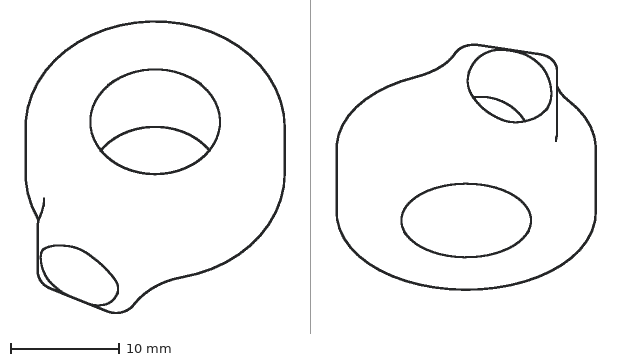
import cadquery as cq
import math

THICKNESS = 9.0
RING_RADIUS = 12.0
TIP_DISTANCE = 16.0
TIP_HALF_WIDTH = 5.0
NECK_RADIUS = 7.0
CORNER_RADIUS = 2.0
RIM_RADIUS = 1.0
OPENING_RADIUS = 6.0
HOLE_DIAMETER = 8.0
HOLE_DEPTH = 8.0

SEAT_RADIUS = math.hypot(OPENING_RADIUS, THICKNESS / 2)


def flank_center():
    """Centre of the +X flank arc: tangent to the ring and through the tip corner."""
    ring_reach = RING_RADIUS + NECK_RADIUS
    corner_reach = math.hypot(TIP_HALF_WIDTH, TIP_DISTANCE)
    corner_angle = math.atan2(-TIP_DISTANCE, TIP_HALF_WIDTH)
    cosine = (ring_reach**2 + corner_reach**2 - NECK_RADIUS**2) / (2 * ring_reach * corner_reach)
    angle = corner_angle + math.acos(cosine)
    return ring_reach * math.cos(angle), ring_reach * math.sin(angle)


def make_body():
    """Ring and neck as one plate, with rounded tip corners and rims."""
    center_x, center_y = flank_center()
    ring_share = RING_RADIUS / (RING_RADIUS + NECK_RADIUS)
    blend_x = center_x * ring_share
    blend_y = center_y * ring_share

    chord_x = (blend_x + TIP_HALF_WIDTH) / 2 - center_x
    chord_y = (blend_y - TIP_DISTANCE) / 2 - center_y
    stretch = NECK_RADIUS / math.hypot(chord_x, chord_y)
    middle_x = center_x + chord_x * stretch
    middle_y = center_y + chord_y * stretch

    plate = (
        cq.Workplane("XY")
        .workplane(offset=-THICKNESS / 2)
        .moveTo(blend_x, blend_y)
        .threePointArc((0, RING_RADIUS), (-blend_x, blend_y))
        .threePointArc((-middle_x, middle_y), (-TIP_HALF_WIDTH, -TIP_DISTANCE))
        .lineTo(TIP_HALF_WIDTH, -TIP_DISTANCE)
        .threePointArc((middle_x, middle_y), (blend_x, blend_y))
        .close()
        .extrude(THICKNESS)
    )
    rounded = plate.faces("<Y").edges("|Z").fillet(CORNER_RADIUS)
    return rounded.faces("|Z").edges().fillet(RIM_RADIUS)


def make_ball_seat():
    """Sphere that hollows the ring."""
    return cq.Workplane("XY").sphere(SEAT_RADIUS)


def make_neck_hole():
    """Flat-bottomed hole running from the neck end towards the ring centre."""
    return (
        cq.Workplane("XZ", origin=(0, -TIP_DISTANCE, 0))
        .circle(HOLE_DIAMETER / 2)
        .extrude(-HOLE_DEPTH)
    )


result = make_body().cut(make_ball_seat()).cut(make_neck_hole())